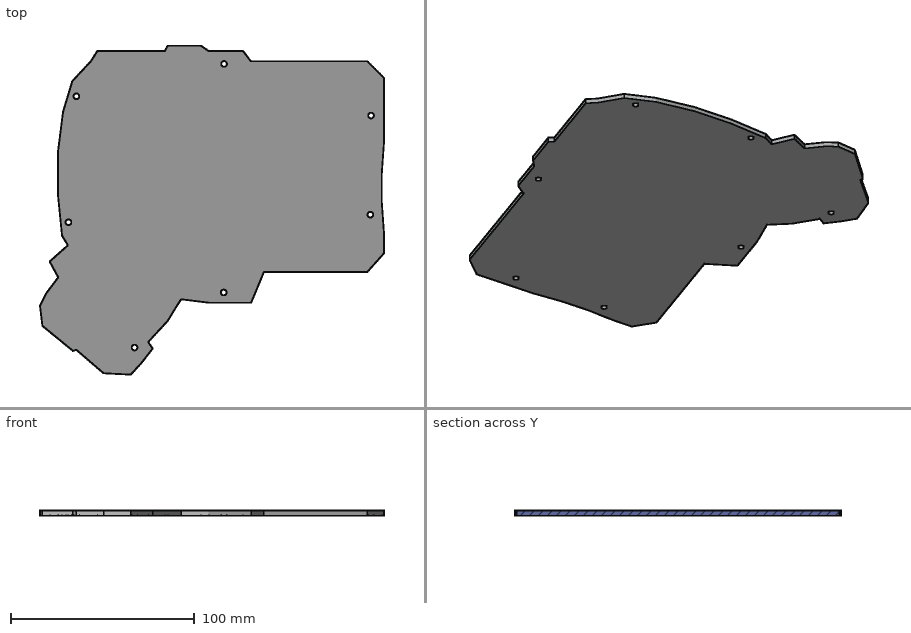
import cadquery as cq

width = 187.5
depth = 179.3
thickness = 3.0

shoulder_y = 176.5
back_y = 170.9
front_y = 55.9
middle_front_y = 39.2
left_x = 9.8
corner_cut = 9.2
front_corner_rise = 10.3
waist_back_y = 126.8
waist_front_y = 76.9
waist_depth = 1.3

hole_diameter = 3.0
hole_centers = [
    (19.9, 151.7),
    (100.3, 169.4),
    (180.5, 141.2),
    (180.0, 87.2),
    (100.2, 44.8),
    (51.5, 14.8),
    (15.5, 83.0),
]

back_edge = [
    (31.3, shoulder_y),
    (68.0, shoulder_y),
    (69.5, depth),
    (87.8, depth),
    (91.9, shoulder_y),
    (110.7, shoulder_y),
    (115.0, back_y),
    (width - corner_cut, back_y),
    (width, back_y - corner_cut),
    (width, waist_back_y),
]

front_edge = [
    (width, front_y + front_corner_rise),
    (width - corner_cut, front_y),
    (122.1, front_y),
    (115.2, middle_front_y),
    (91.9, middle_front_y),
    (76.9, 41.0),
    (69.8, 29.5),
]

thumb_lobe = [
    (59.0, 17.8),
    (61.5, 14.3),
    (55.5, 6.5),
    (49.5, 0),
    (34.7, 0.8),
    (19.9, 13.5),
    (18.0, 13.0),
    (1.3, 26.6),
    (0, 37.5),
    (3.2, 44.0),
    (10.0, 53.0),
    (5.3, 61.7),
    (15.2, 70.5),
]

left_side = [
    (12.0, 75.8),
    (left_x, 98.3),
    (left_x, 121.2),
    (12.5, 143.3),
    (17.6, 160.0),
    (27.8, back_y),
]

waist_middle = (width - waist_depth, (waist_back_y + waist_front_y) / 2)
waist_end = (width, waist_front_y)

plate = (
    cq.Workplane("XY")
    .polyline(back_edge)
    .threePointArc(waist_middle, waist_end)
    .polyline(front_edge + thumb_lobe + left_side, includeCurrent=True)
    .close()
    .extrude(thickness)
)

holes = (
    cq.Workplane("XY")
    .pushPoints(hole_centers)
    .circle(hole_diameter / 2)
    .extrude(thickness)
)

result = plate.cut(holes)